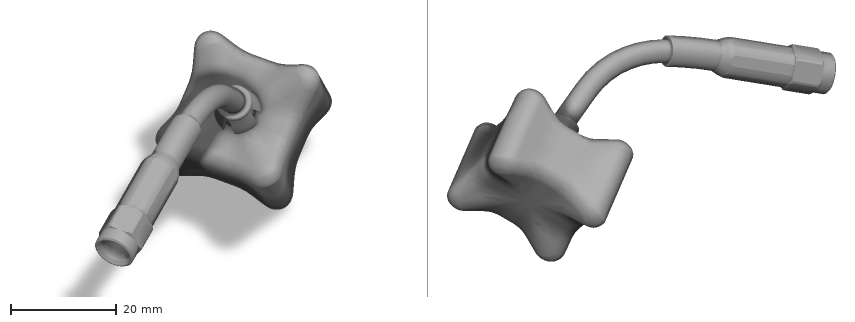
import cadquery as cq
import math

body_tilt = 22.5
body_center_y = 59.9
body_center_z = -30.15

nut_across_flats = 8.0
nut_start = 2.75
nut_end = 8.65
nut_bevel = 0.3
nut_edge_relief = 0.45
ring_radius = nut_across_flats / 2
ring_chamfer = 0.3
barrel_radius = 3.95
barrel_across_flats = 7.6
barrel_end = 21.1
shoulder_radius = 3.65
shoulder_length = 1.05
tail_radius = 3.05
sleeve_start = 23.5

bore_radius = 3.0
bore_mouth_radius = 3.4
bore_mouth_depth = 0.7
bore_depth = 5.2
insulator_radius = 2.0
insulator_height = 0.2
pin_radius = 0.5
pin_height = 1.1

sleeve_radius = 3.0
sleeve_length = 10.15
sleeve_turn = 8.0
cable_radius = 2.25
cable_end_lean = 33.0
cable_overlap = 2.25

body_width = 25.7
wall_dip = 1.1
wall_slope = 13.2
wall_flat_half_width = 2.2
wall_curve_end = 6.4
corner_radius = 3.35
waist_height = 13.05
face_slope = 27.0
face_flat_half_width = 1.3
face_curve_end = 4.9
ridge_radius = 5.1
rim_radius = 2.5

boss_top = 12.2
collar_radius = 3.4
collar_height = 1.2
collar_chamfer = 0.2
boss_base_radius = 4.6
notch_top_width = 0.6
notch_base_width = 2.25

boss_base = waist_height / 2
collar_base = boss_top - collar_height
barrel_start = nut_end
prism_reach = body_width * 0.6
match_tolerance = 0.01


def concave_prism(middle, slope, flat_half_width, curve_end):
    """Prism along Z with concave +Y and -Y sides that are the distance middle from the axis."""
    slope_angle = math.radians(slope)
    curve_radius = (curve_end - flat_half_width) / math.sin(slope_angle)

    def curve_point(angle):
        x = flat_half_width + curve_radius * math.sin(angle)
        y = middle + curve_radius * (1 - math.cos(angle))
        return x, y

    straight_rise = (prism_reach - curve_end) * math.tan(slope_angle)
    quarter = (
        cq.Workplane("XY")
        .lineTo(0, middle)
        .lineTo(flat_half_width, middle)
        .threePointArc(curve_point(slope_angle / 2), curve_point(slope_angle))
        .lineTo(prism_reach, curve_point(slope_angle)[1] + straight_rise)
        .lineTo(prism_reach, 0)
        .close()
        .extrude(prism_reach, both=True)
    )
    half = quarter.union(quarter.mirror("YZ"))
    return half.union(half.mirror("XZ")).clean()


def crossed(prism):
    """What the prism shares with a copy of itself turned a quarter turn about Z."""
    return prism.intersect(prism.rotate((0, 0, 0), (0, 0, 1), 90))


def is_outer_corner(edge):
    center = edge.Center()
    return min(abs(center.x), abs(center.y)) > wall_curve_end


def is_on_diagonal(edge):
    points = [edge.positionAt(t) for t in (0, 0.5, 1)]
    return all(abs(abs(p.x) - abs(p.y)) < match_tolerance for p in points)


def is_on_rim(edge):
    """True for edges that follow a side wall without running from face to face."""
    points = [edge.positionAt(t) for t in (0, 0.5, 1)]
    innermost_wall = body_width / 2 - wall_dip - match_tolerance
    runs_along_wall = all(max(abs(p.x), abs(p.y)) > innermost_wall for p in points)
    return runs_along_wall and points[0].z * points[2].z > 0


def make_pillow():
    """Body centered on the origin, with its axis along Z."""
    walls = concave_prism(
        body_width / 2 - wall_dip, wall_slope, wall_flat_half_width, wall_curve_end
    )
    plan = crossed(walls).edges("|Z").filter(is_outer_corner).fillet(corner_radius)
    faces = concave_prism(waist_height / 2, face_slope, face_flat_half_width, face_curve_end)
    faces = faces.rotate((0, 0, 0), (1, 0, 0), 90)
    cushion = crossed(faces).edges().filter(is_on_diagonal).fillet(ridge_radius)
    return plan.intersect(cushion).edges().filter(is_on_rim).fillet(rim_radius)


def make_boss():
    """Flared boss on top of the body: a plain core, a collar and four panels."""
    core = (
        cq.Workplane("XY")
        .circle(collar_radius)
        .extrude(boss_top)
        .faces(">Z")
        .edges()
        .chamfer(collar_chamfer)
    )
    flare = (
        cq.Workplane("XZ")
        .moveTo(0, boss_base)
        .lineTo(boss_base_radius, boss_base)
        .lineTo(collar_radius, collar_base)
        .lineTo(0, collar_base)
        .close()
        .revolve(360, (0, 0, 0), (0, 1, 0))
    )
    notch = (
        cq.Workplane("XZ")
        .moveTo(-notch_base_width / 2, boss_base)
        .lineTo(notch_base_width / 2, boss_base)
        .lineTo(notch_top_width / 2, collar_base)
        .lineTo(-notch_top_width / 2, collar_base)
        .close()
        .extrude(2 * boss_base_radius, both=True)
    )
    for angle in (0, 90):
        flare = flare.cut(notch.rotate((0, 0, 0), (0, 0, 1), angle))
    return core.union(flare)


def make_sleeve_and_cable():
    """Sleeve arc and cable arc in the YZ plane; the cable ends straight in the boss."""
    turn = math.radians(sleeve_turn)
    sleeve_bend = sleeve_length / math.sin(turn)

    def sleeve_point(angle):
        return sleeve_start + sleeve_bend * math.sin(angle), sleeve_bend * (math.cos(angle) - 1)

    sleeve_path = (
        cq.Workplane("YZ")
        .moveTo(*sleeve_point(0))
        .threePointArc(sleeve_point(turn / 2), sleeve_point(turn))
    )
    sleeve = (
        cq.Workplane("XZ", origin=(0, sleeve_start, 0)).circle(sleeve_radius).sweep(sleeve_path)
    )

    join_y, join_z = sleeve_point(turn)
    tilt = math.radians(body_tilt)
    entry_y = body_center_y - boss_top * math.sin(tilt)
    entry_z = body_center_z + boss_top * math.cos(tilt)
    offset_y = entry_y - join_y
    offset_z = entry_z - join_z
    lean = math.radians(cable_end_lean)
    drop_y, drop_z = math.sin(lean), -math.cos(lean)
    end_y, end_z = math.cos(turn), -math.sin(turn)
    tangent_length = (offset_y * drop_z - offset_z * drop_y) / (end_y * drop_z - end_z * drop_y)
    cable_turn = math.pi / 2 - lean - turn
    cable_bend = tangent_length / math.tan(cable_turn / 2)

    def cable_point(angle):
        """Point on the cable arc where its slope below horizontal is the given angle."""
        y = join_y + cable_bend * (math.sin(angle) - math.sin(turn))
        z = join_z + cable_bend * (math.cos(angle) - math.cos(turn))
        return y, z

    cable_path = (
        cq.Workplane("YZ")
        .moveTo(join_y, join_z)
        .threePointArc(cable_point(turn + cable_turn / 2), cable_point(turn + cable_turn))
        .lineTo(entry_y + cable_overlap * drop_y, entry_z + cable_overlap * drop_z)
    )
    cable_plane = cq.Plane(origin=(0, join_y, join_z), xDir=(1, 0, 0), normal=(0, end_y, end_z))
    cable = cq.Workplane(cable_plane).circle(cable_radius).sweep(cable_path)
    return sleeve.union(cable)


def turned(*profile):
    """Solid of revolution about Z from (radius, height) points, closed along the axis."""
    first_height = profile[0][1]
    last_height = profile[-1][1]
    points = [(0, first_height), *profile, (0, last_height)]
    return cq.Workplane("XZ").polyline(points).close().revolve(360, (0, 0, 0), (0, 1, 0))


def hexagon(across_flats, start, end):
    across_corners = across_flats / math.cos(math.pi / 6)
    return cq.Workplane("XY", origin=(0, 0, start)).polygon(6, across_corners).extrude(end - start)


def make_connector():
    """Connector along Z, with its mating end at Z = 0."""
    ring = turned(
        (ring_radius - ring_chamfer, 0), (ring_radius, ring_chamfer), (ring_radius, nut_end)
    )
    nut_corner_radius = nut_across_flats / 2 / math.cos(math.pi / 6)
    trimmed_radius = nut_corner_radius - nut_edge_relief
    nut_trim = turned(
        (trimmed_radius, nut_start),
        (nut_corner_radius, nut_start + nut_edge_relief),
        (nut_corner_radius, nut_end - nut_edge_relief),
        (trimmed_radius, nut_end),
    )
    nut = hexagon(nut_across_flats, nut_start, nut_end).edges("|Z").chamfer(nut_bevel)
    nut = nut.intersect(nut_trim)

    shoulder_end = barrel_end + shoulder_length
    barrel_trim = turned(
        (barrel_radius, barrel_start),
        (barrel_radius, barrel_end),
        (shoulder_radius, shoulder_end),
        (tail_radius, sleeve_start),
    )
    barrel = hexagon(barrel_across_flats, barrel_start, sleeve_start).intersect(barrel_trim)

    bore = turned(
        (bore_mouth_radius, 0), (bore_radius, bore_mouth_depth), (bore_radius, bore_depth)
    )
    connector = ring.union(nut).union(barrel).cut(bore)
    for radius, height in ((insulator_radius, insulator_height), (pin_radius, pin_height)):
        post = cq.Workplane("XY", origin=(0, 0, bore_depth - height)).circle(radius).extrude(height)
        connector = connector.union(post)
    return connector


body = make_pillow().union(make_boss())
body = body.rotate((0, 0, 0), (1, 0, 0), body_tilt).translate((0, body_center_y, body_center_z))
connector = make_connector().rotate((0, 0, 0), (1, 0, 0), -90)
result = connector.union(make_sleeve_and_cable()).union(body)